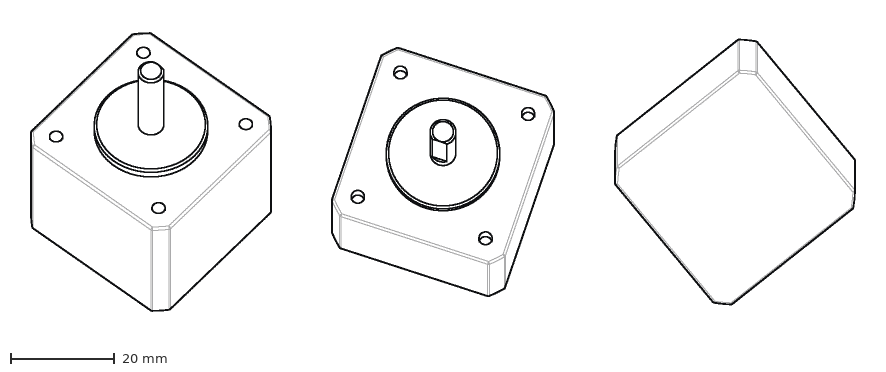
import cadquery as cq

body_width = 35.3
body_height = 28.0
corner_cut_diameter = 46.45
body_edge_radius = 0.5

hole_diameter = 2.55
hole_spacing = 26.0
hole_depth = 4.0

boss_diameter = 22.0
boss_height = 2.0

overall_height = 48
shaft_diameter = 5.0
flat_offset = 2.0
flat_start = 3.0

edge_chamfer = 0.5

boss_top = body_height + boss_height
shaft_length = overall_height - boss_top


def make_body():
    block = cq.Workplane("XY").box(body_width, body_width, body_height, centered=(True, True, False))
    corner_cylinder = cq.Workplane("XY").circle(corner_cut_diameter / 2).extrude(body_height)
    body = block.intersect(corner_cylinder)
    body = body.edges().fillet(body_edge_radius)
    return (
        body.faces(">Z")
        .workplane(origin=(0, 0, body_height))
        .rect(hole_spacing, hole_spacing, forConstruction=True)
        .vertices()
        .hole(hole_diameter, hole_depth)
    )


def make_disc(diameter, base, height):
    """Round post on the motor axis with a chamfered top rim."""
    post = cq.Workplane("XY").workplane(offset=base).circle(diameter / 2).extrude(height)
    return post.faces(">Z").edges().chamfer(edge_chamfer)


def make_shaft():
    shaft = make_disc(shaft_diameter, boss_top, shaft_length)
    flat_cutter = (
        cq.Workplane("XY")
        .box(shaft_diameter, shaft_diameter, shaft_length, centered=(True, False, False))
        .translate((0, flat_offset, boss_top + flat_start))
    )
    return shaft.cut(flat_cutter)


boss = make_disc(boss_diameter, body_height, boss_height)
result = make_body().union(boss).union(make_shaft())